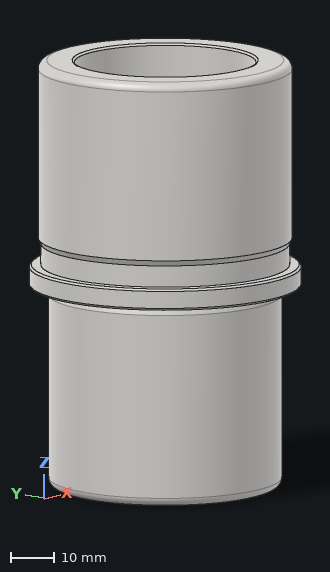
import cadquery as cq

length = 100.0
bore_radius = 21.0
bore_chamfer = 0.5

upper_radius = 29.4
neck_radius = 28.8
flange_radius = 31.5
lower_radius = 27.0
relief_radius = 26.4

lower_top = 45.0
flange_bottom = 47.0
flange_top = 52.0
neck_top = 57.0
upper_bottom = 58.3

end_round = 2.0
flange_chamfer = 0.5

ROUND_MIDPOINT = 1 - 0.5 ** 0.5


def outer_profile():
    """Half section of the solid sleeve, as radius and height."""
    end_mid = end_round * ROUND_MIDPOINT
    return (
        cq.Workplane("XZ")
        .lineTo(lower_radius - end_round, 0)
        .threePointArc((lower_radius - end_mid, end_mid), (lower_radius, end_round))
        .lineTo(lower_radius, lower_top)
        .lineTo(relief_radius, flange_bottom)
        .lineTo(flange_radius - flange_chamfer, flange_bottom)
        .lineTo(flange_radius, flange_bottom + flange_chamfer)
        .lineTo(flange_radius, flange_top - flange_chamfer)
        .lineTo(flange_radius - flange_chamfer, flange_top)
        .lineTo(neck_radius, flange_top)
        .lineTo(neck_radius, neck_top)
        .lineTo(upper_radius, upper_bottom)
        .lineTo(upper_radius, length - end_round)
        .threePointArc(
            (upper_radius - end_mid, length - end_mid),
            (upper_radius - end_round, length),
        )
        .lineTo(0, length)
        .close()
    )


def bore():
    """Through bore with a small chamfer at each mouth."""
    mouth_radius = bore_radius + bore_chamfer
    return (
        cq.Workplane("XZ")
        .lineTo(mouth_radius, 0)
        .lineTo(bore_radius, bore_chamfer)
        .lineTo(bore_radius, length - bore_chamfer)
        .lineTo(mouth_radius, length)
        .lineTo(0, length)
        .close()
        .revolve(360, (0, 0, 0), (0, 1, 0))
    )


sleeve = outer_profile().revolve(360, (0, 0, 0), (0, 1, 0))
result = sleeve.cut(bore())